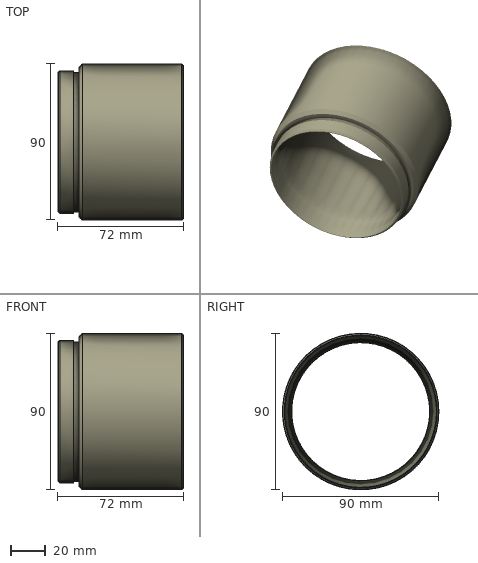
import cadquery as cq

length = 72.0
body_radius = 45.0

body_start = 12.0
front_chamfer = 2.0
rear_chamfer = 1.0

spigot_radius = 41.0
spigot_length = 8.8
spigot_chamfer = 1.0
groove_radius = 40.1

bore_radius = 39.7
straight_bore_length = 14.0
rear_bore_radius = 43.65

half_length = length / 2


def ring_profile():
    """Half section of the sleeve as (x from the spigot end, radius)."""
    return [
        (0, bore_radius),
        (0, spigot_radius - spigot_chamfer),
        (spigot_chamfer, spigot_radius),
        (spigot_length, spigot_radius),
        (spigot_length, groove_radius),
        (body_start, groove_radius),
        (body_start, body_radius - front_chamfer),
        (body_start + front_chamfer, body_radius),
        (length - rear_chamfer, body_radius),
        (length, body_radius - rear_chamfer),
        (length, rear_bore_radius),
        (straight_bore_length, bore_radius),
    ]


section = [(x - half_length, radius) for x, radius in ring_profile()]
result = (
    cq.Workplane("XY")
    .polyline(section)
    .close()
    .revolve(360, (0, 0, 0), (1, 0, 0))
)